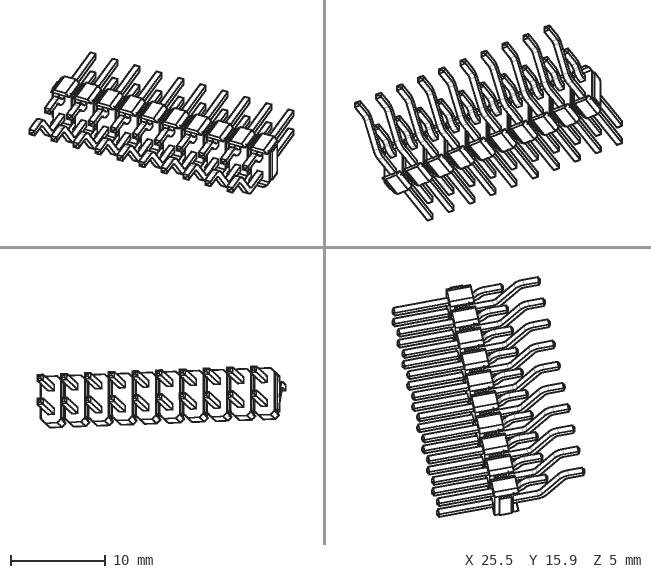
import cadquery as cq
import math

MODULE_COUNT = 10
PITCH = 2.55

HOUSING_WIDTH = 2.1
HOUSING_HEIGHT = 5.0
CORE_DEPTH = 2.0
FLANGE_DEPTH = 2.57
FLANGE_THICKNESS = 0.4

WEB_DEPTH = 1.27
WEB_HEIGHT = 3.75
WEB_SETBACK = 0.48

PIN_SIZE = 0.64
ROW_PITCH = 2.55
MATING_LENGTH = 6.0
TIP_LENGTH = 0.2
TIP_INSET = 0.2
BEND_RADIUS = 0.85
BEND_ANGLE = 55.0
UPPER_BEND_END = 3.9
UPPER_TAIL_END = 5.9
LOWER_BEND_END = 8.05
LOWER_TAIL_END = 9.85

TAIL_Z = HOUSING_HEIGHT / 2 - PIN_SIZE / 2


def make_flange():
    """Trapezoid flange on top of the housing, overhanging the front of the core."""
    base_half = HOUSING_WIDTH / 2
    top_half = base_half - FLANGE_THICKNESS
    top_z = HOUSING_HEIGHT / 2
    base_z = top_z - FLANGE_THICKNESS
    outline = [(-base_half, base_z), (base_half, base_z), (top_half, top_z), (-top_half, top_z)]
    return cq.Workplane("XZ").polyline(outline).close().extrude(FLANGE_DEPTH)


def make_housing():
    """Core block with a flange above and below and a web through both sides."""
    core_height = HOUSING_HEIGHT - 2 * FLANGE_THICKNESS
    core = cq.Workplane("XZ").rect(HOUSING_WIDTH, core_height).extrude(CORE_DEPTH)
    web = (
        cq.Workplane("XZ", origin=(0, -WEB_SETBACK, 0))
        .rect(PITCH, WEB_HEIGHT)
        .extrude(WEB_DEPTH)
    )
    flange = make_flange()
    return core.union(web).union(flange).union(flange.mirror("XY"))


def add_tip(pin, end_face):
    """Extend one end of a pin with a blunt four-sided point."""
    tip_size = PIN_SIZE - 2 * TIP_INSET
    tip = (
        pin.faces(end_face)
        .workplane(centerOption="CenterOfMass")
        .rect(PIN_SIZE, PIN_SIZE)
        .workplane(offset=TIP_LENGTH)
        .rect(tip_size, tip_size)
        .loft(combine=False)
    )
    return pin.union(tip)


def make_pin(row_z, bend_end, tail_end):
    """Pin at height row_z whose tail is offset upward to TAIL_Z by two opposite bends."""
    angle = math.radians(BEND_ANGLE)
    half_angle = angle / 2
    rise = TAIL_Z - row_z

    bend_run = BEND_RADIUS * math.sin(angle)
    bend_rise = BEND_RADIUS * (1 - math.cos(angle))
    middle_run = BEND_RADIUS * math.sin(half_angle)
    middle_rise = BEND_RADIUS * (1 - math.cos(half_angle))

    slope_run = (rise - 2 * bend_rise) / math.tan(angle)
    bend_start = bend_end - 2 * bend_run - slope_run
    rear_y = MATING_LENGTH - TIP_LENGTH
    path = (
        cq.Workplane("YZ")
        .moveTo(rear_y, row_z)
        .lineTo(-bend_start, row_z)
        .threePointArc(
            (-bend_start - middle_run, row_z + middle_rise),
            (-bend_start - bend_run, row_z + bend_rise),
        )
        .lineTo(-bend_end + bend_run, TAIL_Z - bend_rise)
        .threePointArc((-bend_end + middle_run, TAIL_Z - middle_rise), (-bend_end, TAIL_Z))
        .lineTo(-tail_end + TIP_LENGTH, TAIL_Z)
    )
    pin = cq.Workplane("XZ", origin=(0, rear_y, row_z)).rect(PIN_SIZE, PIN_SIZE).sweep(path)
    return add_tip(add_tip(pin, ">Y"), "<Y")


def make_module():
    """One column of the header: housing and its two pins in one piece."""
    upper_pin = make_pin(ROW_PITCH / 2, UPPER_BEND_END, UPPER_TAIL_END)
    lower_pin = make_pin(-ROW_PITCH / 2, LOWER_BEND_END, LOWER_TAIL_END)
    return make_housing().union(upper_pin).union(lower_pin)


module = make_module()
first_x = -PITCH * (MODULE_COUNT - 1) / 2
modules = [module.translate((first_x + i * PITCH, 0, 0)).solids().val() for i in range(MODULE_COUNT)]

result = cq.Compound.makeCompound(modules)